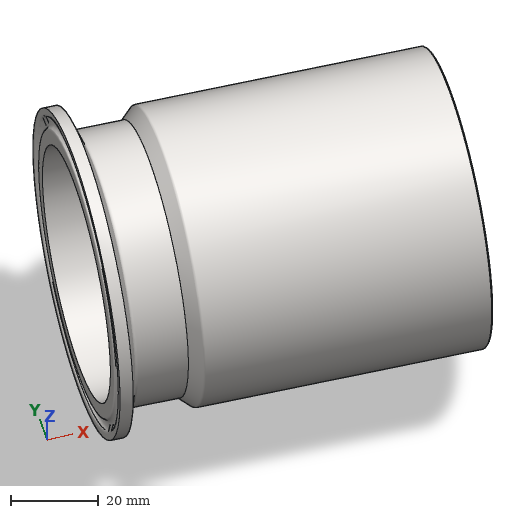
import cadquery as cq

length = 88.9
bore_diameter = 60.2
bore_radius = bore_diameter / 2

flange_diameter = 77.4
flange_radius = flange_diameter / 2
rim_width = 3.1
cone_end = 5.3
cone_fillet = 0.9

neck_diameter = 64.8
neck_radius = neck_diameter / 2

body_diameter = 70.6
body_radius = body_diameter / 2
shoulder_start = 17.8
shoulder_end = 20.9
shoulder_end_fillet = 0.7
end_bevel = 0.4

groove_diameter = 70.6
groove_radius = groove_diameter / 2
groove_width = 2.85
groove_inner_radius = groove_radius - groove_width / 2
groove_outer_radius = groove_radius + groove_width / 2
groove_depth = 1.25
lip_fillet = 0.6


def make_wall():
    """Revolve the pipe wall around the X axis."""
    wall = (
        cq.Workplane("XY")
        .moveTo(0, bore_radius)
        .lineTo(0, flange_radius)
        .lineTo(rim_width, flange_radius)
        .lineTo(cone_end, neck_radius)
        .lineTo(shoulder_start, neck_radius)
        .lineTo(shoulder_end, body_radius)
        .lineTo(length - end_bevel, body_radius)
        .lineTo(length, body_radius - end_bevel)
        .lineTo(length, bore_radius)
        .close()
    )
    return wall.revolve(360, (0, 0, 0), (1, 0, 0))


def circle_edge(x, radius):
    """Select the circular edge of the given radius around the X axis."""
    tolerance = 0.045

    def edges_within(limit):
        return cq.selectors.BoxSelector(
            (x - tolerance, -limit, -limit), (x + tolerance, limit, limit), boundingbox=True
        )

    return edges_within(radius + tolerance) - edges_within(radius - tolerance)


def make_groove():
    """Revolve the groove section around the X axis."""
    section = (
        cq.Workplane("XY")
        .moveTo(0, groove_inner_radius)
        .threePointArc((groove_depth, groove_radius), (0, groove_outer_radius))
        .close()
    )
    return section.revolve(360, (0, 0, 0), (1, 0, 0))


ferrule = make_wall()
ferrule = ferrule.edges(circle_edge(cone_end, neck_radius)).fillet(cone_fillet)
ferrule = ferrule.edges(circle_edge(shoulder_end, body_radius)).fillet(shoulder_end_fillet)

ferrule = ferrule.cut(make_groove())
for lip_radius in (groove_inner_radius, groove_outer_radius):
    ferrule = ferrule.edges(circle_edge(0, lip_radius)).fillet(lip_fillet)

result = ferrule